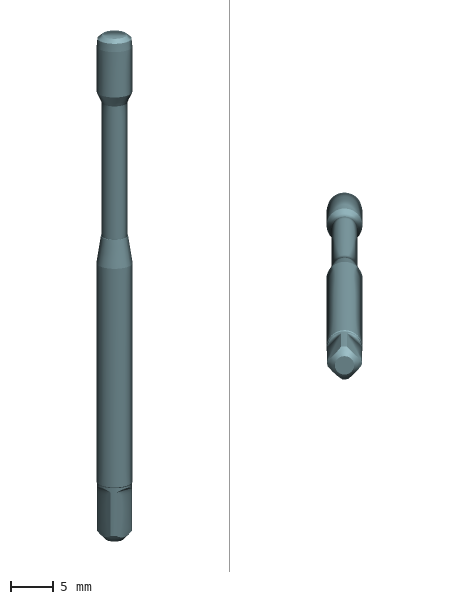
import cadquery as cq

length = 63.2

shank_diameter = 4.3
head_diameter = 4.25
head_lead_diameter = 4.05
head_tip_diameter = 3.0
head_base_diameter = 3.35
neck_diameter = 3.05
taper_small_diameter = 3.2
drive_diameter = 4.1
drive_end_diameter = 2.3

drive_chamfer_height = 1.0
shank_bottom = 7.15
shank_chamfer_height = 0.1
taper_bottom = 34.6
taper_top = 38.0
head_base_bottom = 54.7
head_base_top = 55.1
head_bottom = 56.05
head_top = 61.75
head_lead_top = 62.75

across_flats = 3.35
flat_top = 6.45
flat_count = 4


def revolved_body():
    """Turned body, listed as (diameter, height) from the drive end to the head."""
    stations = [
        (drive_end_diameter, 0),
        (drive_diameter, drive_chamfer_height),
        (drive_diameter, shank_bottom - shank_chamfer_height),
        (shank_diameter, shank_bottom),
        (shank_diameter, taper_bottom),
        (taper_small_diameter, taper_top),
        (neck_diameter, taper_top),
        (neck_diameter, head_base_bottom),
        (head_base_diameter, head_base_top),
        (head_diameter, head_bottom),
        (head_diameter, head_top),
        (head_lead_diameter, head_lead_top),
        (head_tip_diameter, length),
    ]
    outline = [(diameter / 2, height) for diameter, height in stations]
    profile = [(0, 0)] + outline + [(0, length)]
    return cq.Workplane("XZ").polyline(profile).close().revolve(360, (0, 0), (0, 1))


def flat_cutter():
    """Material removed for the +X flat, ending in a 45 degree run-out at its top."""
    inner = across_flats / 2
    outer = shank_diameter / 2
    run_out = outer - inner
    profile = [(inner, 0), (outer, 0), (outer, flat_top + run_out), (inner, flat_top)]
    return cq.Workplane("XZ").polyline(profile).close().extrude(shank_diameter / 2, both=True)


result = revolved_body()
for index in range(flat_count):
    angle = index * 360 / flat_count
    result = result.cut(flat_cutter().rotate((0, 0, 0), (0, 0, 1), angle))